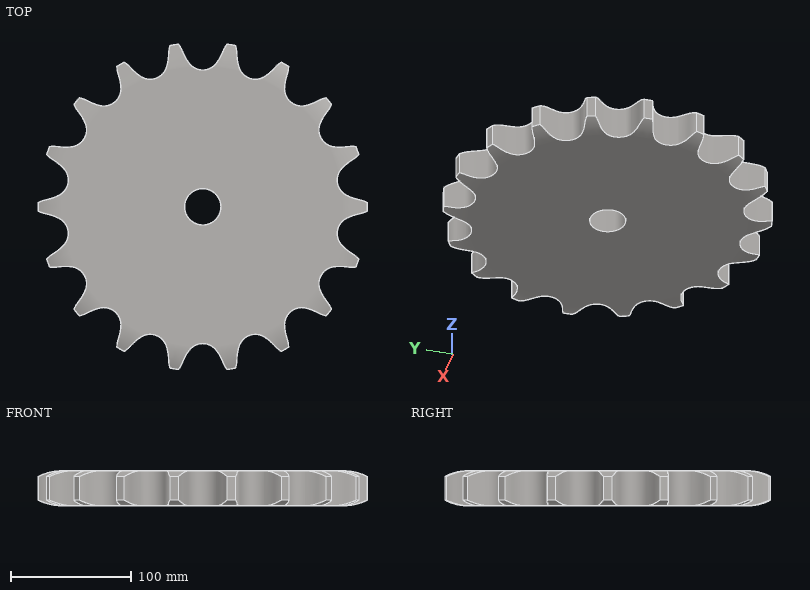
import cadquery as cq
import math

tooth_count = 18
chain_pitch = 44.45
roller_diameter = 27.94
tip_diameter = 274.0
width = 29.4
bore_diameter = 30.0

side_round_start_radius = 116.8
side_round_radius = chain_pitch

tooth_angle = 360.0 / tooth_count
pitch_radius = chain_pitch / (2 * math.sin(math.radians(tooth_angle / 2)))
tip_radius = tip_diameter / 2

seating_clearance = 0.038
seating_radius = 0.5025 * roller_diameter + seating_clearance
working_centre_offset = 0.8 * roller_diameter
working_radius = seating_radius + working_centre_offset
seating_end_angle = math.radians(35 + 60 / tooth_count)
working_sweep = math.radians(18 - 56 / tooth_count)
topping_angle = math.radians(17 - 64 / tooth_count)
topping_centre_offset = 1.4 * roller_diameter
flank_length = (
    topping_centre_offset * math.sin(topping_angle)
    - working_centre_offset * math.sin(working_sweep)
)
topping_radius = (
    working_centre_offset * math.cos(working_sweep)
    + topping_centre_offset * math.cos(topping_angle)
    - working_radius
)
topping_sweep = math.radians(35)


def polar(centre, radius, angle):
    """Point at a radius and angle (radians) from a centre."""
    return (centre[0] + radius * math.cos(angle), centre[1] + radius * math.sin(angle))


def mirrored(point):
    """Point on the opposite side of the tooth gap."""
    return (-point[0], point[1])


def tooth_gap():
    """Cutter for one tooth gap, centred on the +Y axis."""
    seat_centre = (0, pitch_radius)
    working_centre = polar(seat_centre, working_centre_offset, math.pi - seating_end_angle)
    flank_normal = working_sweep - seating_end_angle

    root = (0, pitch_radius - seating_radius)
    seat_end = polar(seat_centre, seating_radius, -seating_end_angle)
    working_mid = polar(working_centre, working_radius, working_sweep / 2 - seating_end_angle)
    working_end = polar(working_centre, working_radius, flank_normal)
    flank_end = polar(working_end, flank_length, flank_normal + math.pi / 2)

    topping_centre = polar(flank_end, topping_radius, flank_normal)
    topping_start_angle = flank_normal + math.pi
    topping_mid = polar(topping_centre, topping_radius, topping_start_angle - topping_sweep / 2)
    topping_end = polar(topping_centre, topping_radius, topping_start_angle - topping_sweep)

    return (
        cq.Workplane("XY")
        .moveTo(*mirrored(topping_end))
        .threePointArc(mirrored(topping_mid), mirrored(flank_end))
        .lineTo(*mirrored(working_end))
        .threePointArc(mirrored(working_mid), mirrored(seat_end))
        .threePointArc(root, seat_end)
        .threePointArc(working_mid, working_end)
        .lineTo(*flank_end)
        .threePointArc(topping_mid, topping_end)
        .close()
        .extrude(width)
    )


def round_drop(radius):
    """Depth of the rounded tooth side below the flat face at a radius."""
    reach = radius - side_round_start_radius
    return side_round_radius - math.sqrt(side_round_radius**2 - reach**2)


def blank():
    """Bored disc with both faces rounded off towards the tip circle."""
    bore_radius = bore_diameter / 2
    mid_radius = (side_round_start_radius + tip_radius) / 2
    mid_drop = round_drop(mid_radius)
    tip_drop = round_drop(tip_radius)
    return (
        cq.Workplane("XZ")
        .moveTo(bore_radius, 0)
        .lineTo(side_round_start_radius, 0)
        .threePointArc((mid_radius, mid_drop), (tip_radius, tip_drop))
        .lineTo(tip_radius, width - tip_drop)
        .threePointArc((mid_radius, width - mid_drop), (side_round_start_radius, width))
        .lineTo(bore_radius, width)
        .close()
        .revolve(360, (0, 0, 0), (0, 1, 0))
    )


def sprocket():
    """Blank with a gap cut on each side of every tooth; one tooth points along +X."""
    body = blank()
    gap = tooth_gap()
    for index in range(tooth_count):
        body = body.cut(gap.rotate((0, 0, 0), (0, 0, 1), index * tooth_angle))
    return body


result = sprocket()